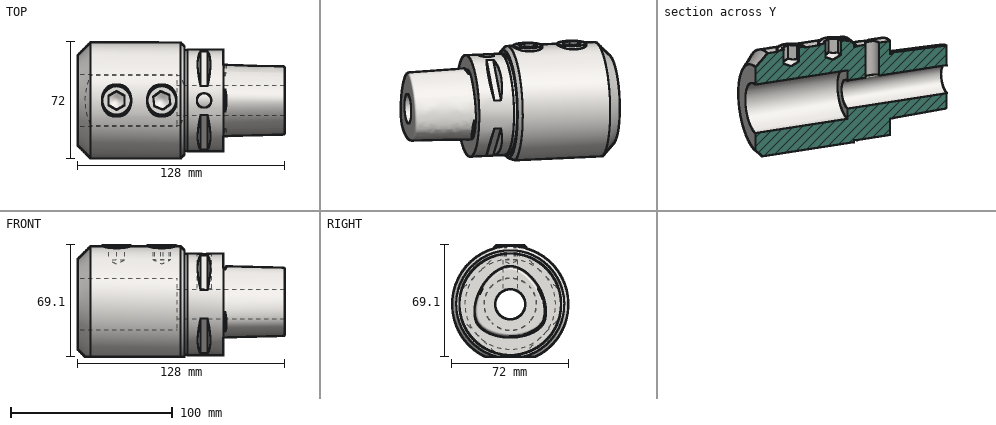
import cadquery as cq
import math

TOTAL_LENGTH = 128.0
SHANK_LENGTH = 38.0
FLANGE_END = TOTAL_LENGTH - SHANK_LENGTH
BODY_LENGTH = 66.0

BODY_RADIUS = 72.0 / 2
FRONT_BEVEL = 8.0
REAR_CHAMFER = 2.5
FLAT_DISTANCE = 32.5

FLANGE_RADIUS = 63.0 / 2
NECK_RADIUS = 62.6 / 2
NECK_WIDTH = 1.9

BORE_RADIUS = 32.0 / 2
BORE_DEPTH = 61.5
BORE_MOUTH_RADIUS = 32.5 / 2
BORE_MOUTH_LENGTH = 1.0
THROUGH_RADIUS = 18.4 / 2

SLOT_STATION = 78.1
SLOT_FLOOR_DISTANCE = 27.6
SLOT_FLOOR_WIDTH = 4.2
SLOT_MOUTH_WIDTH = 8.0
SLOT_COUNT = 4

RADIAL_HOLE_RADIUS = 9.0 / 2
RADIAL_HOLE_FLOOR = THROUGH_RADIUS + 0.5

SCREWS = [(24.0, 0), (52.0, 7)]
SCREW_RADIUS = 20.0 / 2
SCREW_TOP = 36.6
SCREW_SHOULDER = 35.0
SCREW_RIM_RADIUS = 8.8
SCREW_RIM_DROP = 0.3
SCREW_FACE_RADIUS = 8.0
SOCKET_ACROSS_FLATS = 10.0
SOCKET_DEPTH = 9.0
SOCKET_CONE_HEIGHT = 2.8

SHANK_RADIUS = 44.0 / 2
LOBE_HEIGHT = 1.5
COLLAR_LENGTH = 1.9
COLLAR_RISE = 0.1
COLLAR_SLOPE_LENGTH = 1.2
SHANK_TAPER = 1 / 40
SHANK_FILLET = 1.3
RELIEF_RADIUS = 22.7
RELIEF_WIDTH = 1.2
RELIEF_SLOPE = 0.8
POINTS_PER_LOBE = 24


def x_cylinder(radius, start, end):
    return cq.Workplane("YZ", origin=(start, 0, 0)).circle(radius).extrude(end - start)


def turned_body():
    rear_radius = BODY_RADIUS - REAR_CHAMFER
    neck_end = BODY_LENGTH + NECK_WIDTH
    outline = [
        (0, 0),
        (0, BODY_RADIUS - FRONT_BEVEL),
        (FRONT_BEVEL, BODY_RADIUS),
        (BODY_LENGTH - REAR_CHAMFER, BODY_RADIUS),
        (BODY_LENGTH, rear_radius),
        (BODY_LENGTH, NECK_RADIUS),
        (neck_end, NECK_RADIUS),
        (neck_end, FLANGE_RADIUS),
        (FLANGE_END, FLANGE_RADIUS),
        (FLANGE_END, 0),
    ]
    body = cq.Workplane("XY").polyline(outline).close().revolve(360, (0, 0, 0), (1, 0, 0))
    below_flat = (
        cq.Workplane("XY", origin=(0, 0, -FLAT_DISTANCE))
        .rect(2 * FLANGE_END, 2 * BODY_RADIUS)
        .extrude(-BODY_RADIUS)
    )
    return body.cut(below_flat)


def lobe_point(angle, inset):
    """Point (Y, Z) where the profile's tangent is square to the given angle."""
    phase = 3 * (angle - math.pi / 2)
    reach = SHANK_RADIUS - inset + LOBE_HEIGHT * math.cos(phase)
    slope = -3 * LOBE_HEIGHT * math.sin(phase)
    return (
        reach * math.cos(angle) - slope * math.sin(angle),
        reach * math.sin(angle) + slope * math.cos(angle),
    )


def shank_profile(station, inset):
    """Closed profile of three lobes joined at the middle of the flatter sides."""
    lobe_span = 2 * math.pi / 3
    edges = []
    for lobe in range(3):
        start = math.pi / 6 + lobe * lobe_span
        angles = [start + lobe_span * i / POINTS_PER_LOBE for i in range(POINTS_PER_LOBE + 1)]
        points = [cq.Vector(station, *lobe_point(angle, inset)) for angle in angles]
        tangents = [cq.Vector(0, -math.sin(a), math.cos(a)) for a in (angles[0], angles[-1])]
        edges.append(cq.Edge.makeSpline(points, tangents=tangents))
    return cq.Wire.assembleEdges(edges)


def shank_section(start, start_inset, end, end_inset):
    profiles = [shank_profile(start, start_inset), shank_profile(end, end_inset)]
    return cq.Workplane(cq.Solid.makeLoft(profiles, True))


def lobe_relief():
    """Ring that trims the lobe crests next to the flange."""
    outer_radius = SHANK_RADIUS + 2 * LOBE_HEIGHT
    slope_start = FLANGE_END + RELIEF_WIDTH
    slope_end = slope_start + RELIEF_SLOPE
    outline = [
        (FLANGE_END, RELIEF_RADIUS),
        (slope_start, RELIEF_RADIUS),
        (slope_end, RELIEF_RADIUS + RELIEF_SLOPE),
        (slope_end, outer_radius),
        (FLANGE_END, outer_radius),
    ]
    return cq.Workplane("XY").polyline(outline).close().revolve(360, (0, 0, 0), (1, 0, 0))


def shank():
    collar_end = FLANGE_END + COLLAR_LENGTH
    taper_start = collar_end + COLLAR_SLOPE_LENGTH
    end_inset = SHANK_TAPER * (TOTAL_LENGTH - taper_start)
    collar = shank_section(FLANGE_END, -COLLAR_RISE, collar_end, -COLLAR_RISE)
    slope = shank_section(collar_end, -COLLAR_RISE, taper_start, 0)
    taper = shank_section(taper_start, 0, TOTAL_LENGTH, end_inset)
    taper = taper.faces(">X").edges().fillet(SHANK_FILLET)
    return collar.union(slope).union(taper).cut(lobe_relief())


def bore():
    outline = [
        (0, 0),
        (0, BORE_MOUTH_RADIUS),
        (BORE_MOUTH_LENGTH, BORE_RADIUS),
        (BORE_DEPTH, BORE_RADIUS),
        (BORE_DEPTH, THROUGH_RADIUS),
        (TOTAL_LENGTH, THROUGH_RADIUS),
        (TOTAL_LENGTH, 0),
    ]
    return cq.Workplane("XY").polyline(outline).close().revolve(360, (0, 0, 0), (1, 0, 0))


def gripper_slot(angle):
    """Cutter for one slot across the flange, turned about the X axis."""
    section = [
        (SLOT_STATION - SLOT_FLOOR_WIDTH / 2, SLOT_FLOOR_DISTANCE),
        (SLOT_STATION + SLOT_FLOOR_WIDTH / 2, SLOT_FLOOR_DISTANCE),
        (SLOT_STATION + SLOT_MOUTH_WIDTH / 2, FLANGE_RADIUS),
        (SLOT_STATION - SLOT_MOUTH_WIDTH / 2, FLANGE_RADIUS),
    ]
    cutter = cq.Workplane("XZ").polyline(section).close().extrude(FLANGE_RADIUS, both=True)
    return cutter.rotate((0, 0, 0), (1, 0, 0), angle)


def radial_hole():
    hole = (
        cq.Workplane("XY", origin=(SLOT_STATION, 0, 0))
        .circle(RADIAL_HOLE_RADIUS)
        .extrude(FLANGE_RADIUS)
    )
    return hole.cut(x_cylinder(RADIAL_HOLE_FLOOR, 0, TOTAL_LENGTH))


def clamping_screw(station):
    """Screw filling its threaded hole from the bore to above the body."""
    outline = [
        (0, 0),
        (SCREW_RADIUS, 0),
        (SCREW_RADIUS, SCREW_SHOULDER),
        (SCREW_RIM_RADIUS, SCREW_TOP - SCREW_RIM_DROP),
        (SCREW_FACE_RADIUS, SCREW_TOP),
        (0, SCREW_TOP),
    ]
    screw = cq.Workplane("XZ").polyline(outline).close().revolve(360, (0, 0, 0), (0, 1, 0))
    return screw.translate((station, 0, 0))


def screw_socket(station, rotation):
    """Hexagon socket with a conical bottom."""
    corner_radius = SOCKET_ACROSS_FLATS / math.sqrt(3)
    cone_start = SCREW_TOP - SOCKET_DEPTH
    tip = cone_start - SOCKET_CONE_HEIGHT
    outline = [(0, tip), (corner_radius, cone_start), (corner_radius, SCREW_TOP), (0, SCREW_TOP)]
    drilled = cq.Workplane("XZ").polyline(outline).close().revolve(360, (0, 0, 0), (0, 1, 0))
    hexagon = (
        cq.Workplane("XY", origin=(0, 0, tip))
        .polygon(6, 2 * corner_radius)
        .extrude(SCREW_TOP - tip)
        .rotate((0, 0, 0), (0, 0, 1), 90 + rotation)
    )
    return hexagon.intersect(drilled).translate((station, 0, 0))


result = turned_body().union(shank())

for screw_station, socket_rotation in SCREWS:
    result = result.union(clamping_screw(screw_station))
    result = result.cut(screw_socket(screw_station, socket_rotation))

result = result.cut(bore())

for slot in range(SLOT_COUNT):
    result = result.cut(gripper_slot((slot + 0.5) * 360 / SLOT_COUNT))

result = result.cut(radial_hole())